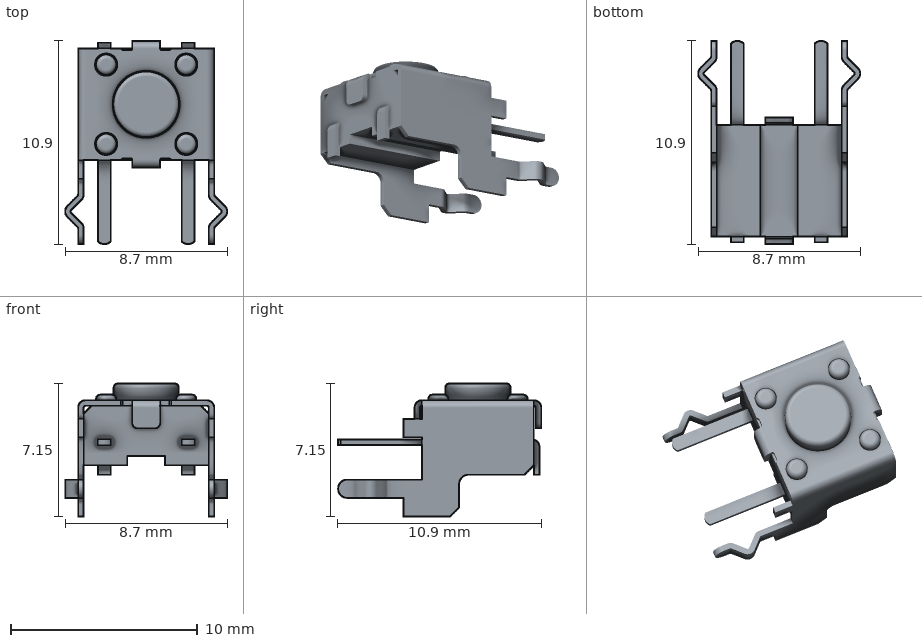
import cadquery as cq
import math


sheet = 0.3
bend_inner = 0.1
bend_outer = bend_inner + sheet
bend_middle = bend_inner + sheet / 2

cover_width = 7.3
cover_length = 6.0
cover_top = 3.5
cover_bottom = -2.75
cover_half = cover_width / 2
cover_front = -cover_length / 2
cover_rear = cover_length / 2
plate_bottom = cover_top - sheet

wall_front = -4.0
lug_top = 2.5
lug_bottom = 1.5
wall_bottom = -0.5
foot_rear = -1.0
corner_cut = 0.5

finger_top = -0.75
finger_height = 0.99
finger_tip = -7.5
finger_bend_start = -4.84
finger_reach = 4.35

tab_width = 1.5
tab_bottom = 1.98
tab_corner_radius = 0.3
relief_outer = 1.35
relief_depth = 0.11

housing_width = cover_width - 2 * sheet
housing_chamfer = 0.4
channel_width = 2.01
channel_height = 0.5

rivet_x = 2.15
rivet_y = 2.13
rivet_points = [(x, y) for x in (-rivet_x, rivet_x) for y in (-rivet_y, rivet_y)]
rivet_radius = 0.55
rivet_top = 3.8
rivet_rounding = 0.25
rivet_hole_radius = 0.6

plunger_radius = 1.75
plunger_hole_radius = 1.8
plunger_top = 4.4
plunger_rounding = 0.25

terminal_x = 2.25
terminal_width = 0.7
terminal_top = 1.4
terminal_front = finger_tip
terminal_rear = cover_rear + sheet
terminal_bottom = -0.5
terminal_tip_rise = 0.15


def bent_strip(path, start, direction, width_x, width_yz):
    """Sheet strip swept along a path through the middle of its thickness."""
    section = cq.Workplane(cq.Plane(start, (1, 0, 0), direction))
    return section.rect(width_x, width_yz).sweep(path)


def make_cover_shell():
    """Bent channel whose two walls are trimmed to the side outline."""
    depth = cover_rear - wall_front
    height = cover_top - cover_bottom
    middle_y = (cover_rear + wall_front) / 2

    outside = (
        cq.Workplane("XY", origin=(0, middle_y, cover_bottom))
        .box(cover_width, depth, height, centered=(True, True, False))
        .edges("|Y and >Z").fillet(bend_outer)
    )
    inside = (
        cq.Workplane("XY", origin=(0, middle_y, cover_bottom))
        .box(housing_width, depth, height - sheet, centered=(True, True, False))
        .edges("|Y and >Z").fillet(bend_inner)
    )
    side_outline = (
        cq.Workplane("YZ", origin=(-cover_half, 0, 0))
        .moveTo(cover_rear, cover_top)
        .lineTo(cover_front, cover_top)
        .lineTo(cover_front, lug_top)
        .lineTo(wall_front, lug_top)
        .lineTo(wall_front, lug_bottom)
        .lineTo(cover_front, lug_bottom)
        .lineTo(cover_front, finger_top)
        .lineTo(wall_front, finger_top)
        .lineTo(wall_front, cover_bottom)
        .lineTo(foot_rear - corner_cut, cover_bottom)
        .lineTo(foot_rear, cover_bottom + corner_cut)
        .lineTo(foot_rear, wall_bottom - corner_cut)
        .radiusArc((foot_rear + corner_cut, wall_bottom), corner_cut)
        .lineTo(cover_rear - corner_cut, wall_bottom)
        .lineTo(cover_rear, wall_bottom + corner_cut)
        .close()
        .extrude(cover_width)
    )
    return outside.cut(inside).intersect(side_outline)


def make_finger():
    """Spring finger of the +X wall, kinked outward by three bends."""
    middle_x = cover_half - sheet / 2
    middle_z = finger_top - finger_height / 2
    diagonal = bend_middle * math.sqrt(0.5)

    root_centre_x = middle_x + bend_middle
    peak_centre_x = finger_reach - bend_outer
    pitch = 2 * bend_middle * math.sqrt(2) + peak_centre_x - root_centre_x
    peak_y = finger_bend_start - pitch
    return_y = peak_y - pitch

    path = (
        cq.Workplane("XY", origin=(0, 0, middle_z))
        .moveTo(middle_x, wall_front)
        .lineTo(middle_x, finger_bend_start)
        .tangentArcPoint((root_centre_x - diagonal, finger_bend_start - diagonal), relative=False)
        .lineTo(peak_centre_x + diagonal, peak_y + diagonal)
        .tangentArcPoint((peak_centre_x + diagonal, peak_y - diagonal), relative=False)
        .lineTo(root_centre_x - diagonal, return_y + diagonal)
        .tangentArcPoint((middle_x, return_y), relative=False)
        .lineTo(middle_x, finger_tip)
    )
    strip = bent_strip(path, (middle_x, wall_front, middle_z), (0, -1, 0), sheet, finger_height)

    tip_radius = finger_height / 2
    tip_envelope = (
        cq.Workplane("YZ")
        .moveTo(wall_front, finger_top)
        .lineTo(finger_tip + tip_radius, finger_top)
        .threePointArc(
            (finger_tip, middle_z),
            (finger_tip + tip_radius, finger_top - finger_height),
        )
        .lineTo(wall_front, finger_top - finger_height)
        .close()
        .extrude(finger_reach)
    )
    return strip.intersect(tip_envelope)


def make_tab():
    """Tab folded down from the front edge of the cover plate."""
    middle_y = cover_front - bend_middle
    middle_z = cover_top - sheet / 2
    diagonal = bend_middle * math.sqrt(0.5)
    bend_end_z = middle_z - bend_middle

    path = (
        cq.Workplane("YZ")
        .moveTo(cover_front, middle_z)
        .threePointArc((cover_front - diagonal, bend_end_z + diagonal), (middle_y, bend_end_z))
        .lineTo(middle_y, tab_bottom)
    )
    strip = bent_strip(path, (0, cover_front, middle_z), (0, -1, 0), tab_width, sheet)
    return strip.edges("|Y and <Z").fillet(tab_corner_radius)


def make_relief():
    """Shallow relief notch on the +X side of the front tab: round corner at the tab, 45-degree outer end."""
    tab_side = tab_width / 2
    return (
        cq.Workplane("XY", origin=(0, cover_front, plate_bottom))
        .moveTo(tab_side, 0)
        .radiusArc((tab_side + relief_depth, relief_depth), relief_depth)
        .lineTo(relief_outer - relief_depth, relief_depth)
        .lineTo(relief_outer, 0)
        .close()
        .extrude(sheet)
    )


def make_cover():
    """Trimmed channel with tabs, relief notches, fingers and the holes in its plate."""
    shell = make_cover_shell()
    relief = make_relief()
    reliefs = relief.union(relief.mirror("YZ"))
    shell = shell.cut(reliefs).cut(reliefs.mirror("XZ"))

    tab = make_tab()
    finger = make_finger()
    shell = shell.union(tab).union(tab.mirror("XZ"))
    shell = shell.union(finger).union(finger.mirror("YZ"))

    holes = (
        cq.Workplane("XY", origin=(0, 0, plate_bottom))
        .circle(plunger_hole_radius)
        .pushPoints(rivet_points)
        .circle(rivet_hole_radius)
        .extrude(sheet)
    )
    return shell.cut(holes)


def make_terminal(x):
    """Straight pin at the front that runs through the housing to a leg bent down at the rear."""
    middle_z = terminal_top - sheet / 2
    leg_y = terminal_rear - sheet / 2
    bend_y = leg_y - bend_middle
    bend_z = middle_z - bend_middle
    diagonal = bend_middle * math.sqrt(0.5)

    path = (
        cq.Workplane("YZ", origin=(x, 0, 0))
        .moveTo(terminal_front, middle_z)
        .lineTo(bend_y, middle_z)
        .threePointArc((bend_y + diagonal, bend_z + diagonal), (leg_y, bend_z))
        .lineTo(leg_y, terminal_bottom)
    )
    strip = bent_strip(path, (x, terminal_front, middle_z), (0, 1, 0), terminal_width, sheet)

    half = terminal_width / 2
    shoulder_y = terminal_front + terminal_tip_rise
    tip_envelope = (
        cq.Workplane("XY", origin=(x, 0, terminal_bottom))
        .moveTo(-half, shoulder_y)
        .threePointArc((0, terminal_front), (half, shoulder_y))
        .lineTo(half, terminal_rear)
        .lineTo(-half, terminal_rear)
        .close()
        .extrude(terminal_top - terminal_bottom)
    )
    return strip.intersect(tip_envelope)


def make_housing(terminals):
    """Block under the cover plate, with rivets on top and a channel for each terminal."""
    block = (
        cq.Workplane("XY")
        .box(housing_width, cover_length, plate_bottom, centered=(True, True, False))
        .edges("|Y and >Z").chamfer(housing_chamfer)
    )
    channel = cq.Workplane("XY").box(
        channel_width, cover_length, channel_height, centered=(True, True, False)
    )
    rivets = (
        cq.Workplane("XY", origin=(0, 0, plate_bottom))
        .pushPoints(rivet_points)
        .circle(rivet_radius)
        .extrude(rivet_top - plate_bottom)
        .faces(">Z").edges().fillet(rivet_rounding)
    )
    housing = block.cut(channel).union(rivets)
    for terminal in terminals:
        housing = housing.cut(terminal)
    return housing


def make_plunger():
    """Round push button that stands on the housing and rises through the cover."""
    return (
        cq.Workplane("XY", origin=(0, 0, plate_bottom))
        .circle(plunger_radius)
        .extrude(plunger_top - plate_bottom)
        .faces(">Z").edges().fillet(plunger_rounding)
    )


terminals = [make_terminal(x) for x in (-terminal_x, terminal_x)]
housing = make_housing(terminals)
cover = make_cover()
plunger = make_plunger()

result = cq.Compound.makeCompound([
    housing.solids().val(),
    cover.solids().val(),
    plunger.solids().val(),
    *[terminal.solids().val() for terminal in terminals],
])